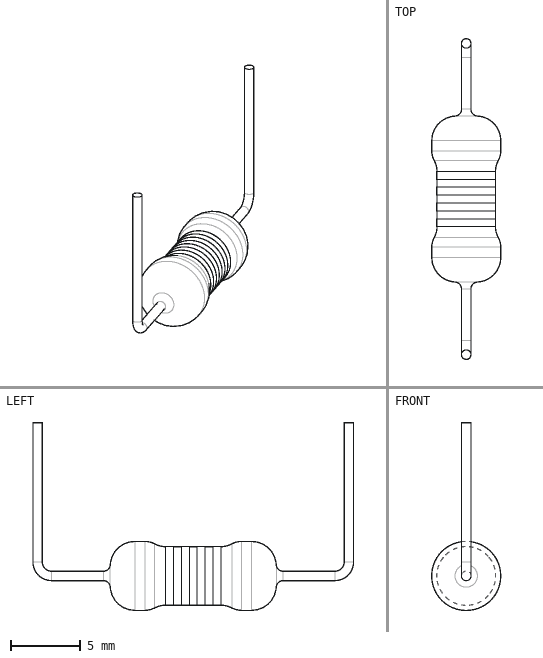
import cadquery as cq
import math

overall_length = 23.2
overall_height = 13.6

lead_diameter = 0.7
bend_radius = 1.02

bulb_diameter = 5.0
waist_diameter = 4.25
body_half_length = 6.0
dome_radius = 1.79
bulb_inner_station = 3.48
shoulder_inflection_station = 2.78

band_diameter = 4.27
band_count = 4
banded_length = 4.0

flare_radius = 0.49

lead_radius = lead_diameter / 2
bulb_radius = bulb_diameter / 2
waist_radius = waist_diameter / 2
banded_half_length = banded_length / 2
band_width = banded_length / (2 * band_count - 1)
lead_offset = overall_length / 2 - lead_radius
lead_top = overall_height - bulb_radius


def point_on_circle(center, radius, angle):
    return (center[0] + radius * math.cos(angle), center[1] + radius * math.sin(angle))


def make_bulb():
    """Revolve the +Y bulb, from inside the outermost band to the end of the flare."""
    shoulder_length = bulb_inner_station - banded_half_length
    shoulder_drop = bulb_radius - waist_radius
    concave_share = (shoulder_inflection_station - banded_half_length) / shoulder_length
    inflection = (waist_radius + concave_share * shoulder_drop, shoulder_inflection_station)

    dome_center = (bulb_radius - dome_radius, body_half_length - dome_radius)
    flare_center_radius = lead_radius + flare_radius
    center_distance = dome_radius + flare_radius
    radial_gap = flare_center_radius - dome_center[0]
    axial_gap = math.sqrt(center_distance**2 - radial_gap**2)
    flare_center = (flare_center_radius, dome_center[1] + axial_gap)
    contact_angle = math.atan2(axial_gap, radial_gap)
    contact = point_on_circle(dome_center, dome_radius, contact_angle)
    dome_middle = point_on_circle(dome_center, dome_radius, contact_angle / 2)
    flare_middle_angle = contact_angle / 2 - math.pi
    flare_middle = point_on_circle(flare_center, flare_radius, flare_middle_angle)

    profile = (
        cq.Workplane("XY")
        .moveTo(0, banded_half_length - band_width / 2)
        .lineTo(waist_radius, banded_half_length - band_width / 2)
        .lineTo(waist_radius, banded_half_length)
        .tangentArcPoint(inflection, relative=False)
        .tangentArcPoint((bulb_radius, bulb_inner_station), relative=False)
        .lineTo(bulb_radius, dome_center[1])
        .threePointArc(dome_middle, contact)
        .threePointArc(flare_middle, (lead_radius, flare_center[1]))
        .lineTo(0, flare_center[1])
        .close()
    )
    return profile.revolve(360, (0, 0), (0, 1))


def make_cylinder(diameter, length, center_station):
    start = center_station - length / 2
    return cq.Workplane("XZ", origin=(0, start, 0)).circle(diameter / 2).extrude(-length)


def make_lead():
    """Sweep the +Y lead out from inside the body, around the bend and up."""
    bend_start = lead_offset - bend_radius
    bend_middle = (
        bend_start + bend_radius * math.sin(math.pi / 4),
        bend_radius * (1 - math.cos(math.pi / 4)),
    )
    path = (
        cq.Workplane("YZ")
        .moveTo(bulb_inner_station, 0)
        .lineTo(bend_start, 0)
        .threePointArc(bend_middle, (lead_offset, bend_radius))
        .lineTo(lead_offset, lead_top)
    )
    section = cq.Workplane("XZ", origin=(0, bulb_inner_station, 0)).circle(lead_radius)
    return section.sweep(path)


end = make_bulb().union(make_lead())
waist = make_cylinder(waist_diameter, banded_length, 0)
result = waist.union(end).union(end.mirror("XZ"))

for index in range(band_count):
    station = (2 * index - (band_count - 1)) * band_width
    result = result.union(make_cylinder(band_diameter, band_width, station))